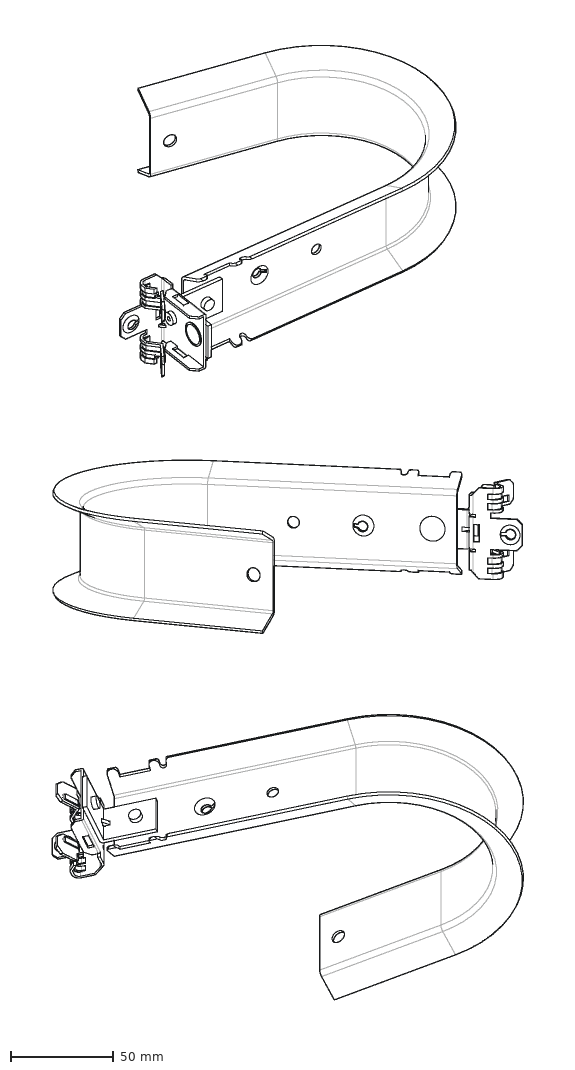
import cadquery as cq
import math


HOOK_SHEET = 1.5
WEB_RADIUS = 50.8
CHANNEL_DEPTH = 15.0
CHANNEL_HALF_WIDTH = 25.7
FLARE = math.radians(25)
BEND_RADIUS = 3.1
LONG_LEG = 124.0
SHORT_LEG = 68.5
SHORT_LEG_TILT = 12

WEB_BACK = WEB_RADIUS + HOOK_SHEET
FLANGE_EDGE = WEB_RADIUS + CHANNEL_DEPTH

RECESS_X = 61.3
NOTCH_TOP = -94.0
NOTCH_BOTTOM = -97.3
RECESS_TOP = -102.6
RECESS_BOTTOM = -118.3
LOBE_RADIUS = 2.5
END_LOBE_RADIUS = 2.7
NOTCH_RADIUS = 1.5

SHORT_LEG_HOLE = 7.0
SHORT_LEG_HOLE_FROM_END = 10.5
LONG_LEG_HOLE = 5.8
LONG_LEG_HOLE_Y = -42.7

SCREW_HOLE = 5.0
SCREW_LIP = 0.2
SCREW_SLIT_WIDTH = 1.8
SCREW_SLIT_LENGTH = 4.7
HOOK_CONE = 10.5
HOOK_CONE_HEIGHT = 2.0
HOOK_CONE_Y = -77.5
CLIP_CONE = 9.8
CLIP_CONE_HEIGHT = 1.0
CLIP_CONE_Y = -151.8

RIVET_HEAD = 12.5
RIVET_HEAD_HEIGHT = 2.0
RIVET_SHANK = 6.3
CLIP_RIVET_RIM = 0.5
CLIP_RIVET_DOME = 10.5
RIVET_TAIL = 2.7
HOOK_RIVET_Y = -112.0
CLIP_RIVET_X = 71.5

BRACKET_SHEET = 2.2
BRACKET_HALF_WIDTH = 9.8
BRACKET_END_X = 81.2
BRACKET_TOP_Y = -102.0
BRACKET_SHELF_Y = -128.8
BRACKET_UNDERSIDE = BRACKET_SHELF_Y - BRACKET_SHEET
BRACKET_HEEL_RADIUS = 2.0
BRACKET_DART = 3.4
BRACKET_DART_WIDTH = 2.2

CLIP_SHEET = 1.3
CLIP_BASE_BOTTOM = BRACKET_UNDERSIDE - CLIP_SHEET
CLIP_BEND_RADIUS = 2.2
CLIP_DART = 2.7
CLIP_DART_WIDTH = 1.3
CLIP_DART_Z = 8.7

BODY_START_X = 53.0
BODY_END_X = 79.5
SKIRT_HALF_WIDTH = 16.5
SKIRT_BOTTOM = -138.6
SKIRT_CHAMFER = 3.4
SKIRT_BEND_RADIUS = 1.0
WINDOW_START_X = 58.5
WINDOW_END_X = 67.5
WINDOW_BOTTOM = -135.5

COLLAR_X = 54.3
COLLAR_DIAMETER = 6.7
COLLAR_HOLE = 2.2
COLLAR_BOTTOM = -134.5

TAB_X = 45.2
TAB_BOTTOM = -157.9
TAB_HALF_WIDTH = 7.8
TAB_CHAMFER = 2.7
NECK_HALF_WIDTH = 18.8
SHOULDER_TOP = -136.2
SHOULDER_BOTTOM = -142.0
SHOULDER_HALF_WIDTH = 22.8
TAB_SLOT_TOP = -133.5
TAB_SLOT_BOTTOM = -136.5
TAB_SLOT_WIDTH = 8.7

FINGER_INNER_Z = 10.5
FINGER_FOOT_Y = -146.5
FINGER_BEND_RADIUS = 3.8
FINGER_KNEE_X = 51.5
FINGER_PEAK = (57.5, -141.3)
FINGER_TIP = (68.2, -148.5)
FINGER_CHAMFER_X = 3.1
FINGER_CHAMFER_Z = 3.5
FINGER_NOTCH_X = 56.8
FINGER_NOTCH_WIDTH = 3.4
FINGER_NOTCH_Z = 17.7
BEAD_TOP = -140.6
BEAD_RISE = 0.7
SHORT_BEAD = (18.5, 2.7, 55.2)
LONG_BEAD = (13.6, 3.1, 65.3)


def box(x_range, y_range, z_range):
    size = [high - low for low, high in (x_range, y_range, z_range)]
    corner = (x_range[0], y_range[0], z_range[0])
    return cq.Workplane("XY").box(*size, centered=False).translate(corner)


def plate(outline, z_centre, width):
    """Extrude an XY outline by a width centred on a height."""
    return cq.Workplane("XY").workplane(offset=z_centre - width / 2).polyline(outline).close().extrude(width)


def bore(x, y, diameter, length):
    """Cylinder along +X from a point on the plane z = 0."""
    return cq.Workplane("YZ", origin=(x, y, 0)).circle(diameter / 2).extrude(length)


def channel_section():
    """Section of the channel on the XZ plane, with the web at the curve radius."""
    lean_x, lean_z = math.cos(FLARE), math.sin(FLARE)
    tip_x = FLANGE_EDGE - HOOK_SHEET * lean_z
    bend_x = WEB_RADIUS + BEND_RADIUS
    flange_run = tip_x - bend_x + BEND_RADIUS * lean_z
    web_half = CHANNEL_HALF_WIDTH - BEND_RADIUS * lean_x - flange_run * math.tan(FLARE)
    full = math.pi / 2 - FLARE
    middle = full / 2

    def on_bend(radius, turn, side):
        return (bend_x - radius * math.cos(turn), side * (web_half + radius * math.sin(turn)))

    inner_radius = BEND_RADIUS - HOOK_SHEET
    inside_tip = CHANNEL_HALF_WIDTH - HOOK_SHEET * lean_x
    return (
        cq.Workplane("XZ")
        .moveTo(WEB_RADIUS, -web_half)
        .lineTo(WEB_RADIUS, web_half)
        .threePointArc(on_bend(BEND_RADIUS, middle, 1), on_bend(BEND_RADIUS, full, 1))
        .lineTo(tip_x, CHANNEL_HALF_WIDTH)
        .lineTo(FLANGE_EDGE, inside_tip)
        .lineTo(*on_bend(inner_radius, full, 1))
        .threePointArc(on_bend(inner_radius, middle, 1), (WEB_BACK, web_half))
        .lineTo(WEB_BACK, -web_half)
        .threePointArc(on_bend(inner_radius, middle, -1), on_bend(inner_radius, full, -1))
        .lineTo(FLANGE_EDGE, -inside_tip)
        .lineTo(tip_x, -CHANNEL_HALF_WIDTH)
        .lineTo(*on_bend(BEND_RADIUS, full, -1))
        .threePointArc(on_bend(BEND_RADIUS, middle, -1), (WEB_RADIUS, -web_half))
        .close()
    )


def long_leg_outline():
    """Block that trims the long leg to its lobed flange edges."""
    outline = [
        (WEB_RADIUS, 0), (FLANGE_EDGE, 0),
        (FLANGE_EDGE, NOTCH_TOP), (RECESS_X, NOTCH_TOP),
        (RECESS_X, NOTCH_BOTTOM), (FLANGE_EDGE, NOTCH_BOTTOM),
        (FLANGE_EDGE, RECESS_TOP), (RECESS_X, RECESS_TOP),
        (RECESS_X, RECESS_BOTTOM), (FLANGE_EDGE, RECESS_BOTTOM),
        (FLANGE_EDGE, -LONG_LEG), (WEB_RADIUS, -LONG_LEG),
    ]
    block = plate(outline, 0, 2 * CHANNEL_HALF_WIDTH)
    corners = [(FLANGE_EDGE, y, LOBE_RADIUS) for y in (NOTCH_TOP, NOTCH_BOTTOM, RECESS_TOP)]
    corners += [(FLANGE_EDGE, y, END_LOBE_RADIUS) for y in (RECESS_BOTTOM, -LONG_LEG)]
    corners += [(RECESS_X, y, NOTCH_RADIUS) for y in (NOTCH_TOP, NOTCH_BOTTOM)]
    for x, y, radius in corners:
        block = block.edges(cq.NearestToPointSelector((x, y, 0))).fillet(radius)
    return block


def screw_impression(sheet, face_x, y, diameter, height, outward, thickness):
    """Press a hollow cone with a hole and a slit into a sheet; outward is +1 or -1 along X."""
    plane = cq.Plane(origin=(face_x, y, 0), xDir=(0, 1, 0), normal=(outward, 0, 0))
    radius = diameter / 2
    top_radius = SCREW_HOLE / 2 + SCREW_LIP

    def cone(base_offset):
        return (
            cq.Workplane(plane).workplane(offset=base_offset).circle(radius)
            .workplane(offset=height).circle(top_radius).loft()
        )

    through = height + 2 * thickness
    hole = cq.Workplane(plane).workplane(offset=-through).circle(SCREW_HOLE / 2).extrude(2 * through)
    slit = (
        cq.Workplane(plane).workplane(offset=-through)
        .center(SCREW_SLIT_LENGTH / 2, 0).rect(SCREW_SLIT_LENGTH, SCREW_SLIT_WIDTH).extrude(2 * through)
    )
    return sheet.union(cone(0)).cut(cone(-thickness)).cut(hole).cut(slit)


def make_hook():
    curve_end = 180 - SHORT_LEG_TILT
    curve = channel_section().revolve(curve_end, (0, 0, 0), (0, 1, 0))
    long_leg = channel_section().extrude(LONG_LEG).intersect(long_leg_outline())
    long_leg = long_leg.cut(bore(WEB_RADIUS, LONG_LEG_HOLE_Y, LONG_LEG_HOLE, HOOK_SHEET))
    long_leg = long_leg.cut(bore(WEB_RADIUS, HOOK_RIVET_Y, RIVET_SHANK, HOOK_SHEET))
    long_leg = screw_impression(
        long_leg, WEB_RADIUS, HOOK_CONE_Y, HOOK_CONE, HOOK_CONE_HEIGHT, -1, HOOK_SHEET)
    hole_y = SHORT_LEG - SHORT_LEG_HOLE_FROM_END
    short_leg = channel_section().extrude(-SHORT_LEG)
    short_leg = short_leg.cut(bore(WEB_RADIUS, hole_y, SHORT_LEG_HOLE, HOOK_SHEET))
    short_leg = short_leg.rotate((0, 0, 0), (0, 0, 1), curve_end)
    return curve.union(long_leg).union(short_leg)


def make_rivet(grip, dome_diameter=RIVET_HEAD, rim=0.0):
    """Rivet along +X with its head seated on the plane x = 0."""
    head_radius = RIVET_HEAD / 2
    dome_edge = dome_diameter / 2
    shank_radius = RIVET_SHANK / 2
    shank_end = grip + RIVET_TAIL
    dome_height = RIVET_HEAD_HEIGHT - rim
    dome_radius = (dome_edge**2 + dome_height**2) / (2 * dome_height)
    half_turn = math.asin(dome_edge / dome_radius) / 2
    dome_middle = (
        -RIVET_HEAD_HEIGHT + dome_radius * (1 - math.cos(half_turn)),
        dome_radius * math.sin(half_turn),
    )
    outline = (
        cq.Workplane("XY")
        .moveTo(-RIVET_HEAD_HEIGHT, 0)
        .threePointArc(dome_middle, (-rim, dome_edge))
    )
    if rim > 0:
        outline = outline.lineTo(-rim, head_radius).lineTo(0, head_radius)
    return (
        outline
        .lineTo(0, shank_radius)
        .lineTo(shank_end, shank_radius)
        .lineTo(shank_end, 0)
        .close()
        .revolve(360, (0, 0, 0), (1, 0, 0))
    )


def make_hook_rivet():
    return make_rivet(HOOK_SHEET + BRACKET_SHEET).translate((WEB_RADIUS, HOOK_RIVET_Y, 0))


def make_clip_rivet():
    rivet = make_rivet(BRACKET_SHEET + CLIP_SHEET, CLIP_RIVET_DOME, CLIP_RIVET_RIM)
    return rivet.rotate((0, 0, 0), (0, 0, 1), 90).translate((CLIP_RIVET_X, CLIP_BASE_BOTTOM, 0))


def press_dart(strip, heel, side_y, sheet, reach, width, z_centre):
    """Press a 45 degree stiffening dart through the bend whose outer corner is the heel.

    The strip runs from the heel along +X and along side_y times Y.
    """
    x, y = heel
    ridge = 2 * sheet + reach
    groove = ridge - sheet * math.sqrt(2)

    def wedge(start, size):
        corner_x, corner_y = x + start, y + side_y * start
        return plate(
            [(corner_x, corner_y), (corner_x + size, corner_y), (corner_x, corner_y + side_y * size)],
            z_centre, width)

    return strip.union(wedge(sheet, reach)).cut(wedge(0, groove))


def make_bracket():
    leg_face = WEB_BACK + BRACKET_SHEET
    outline = [
        (WEB_BACK, BRACKET_TOP_Y), (leg_face, BRACKET_TOP_Y),
        (leg_face, BRACKET_SHELF_Y), (BRACKET_END_X, BRACKET_SHELF_Y),
        (BRACKET_END_X, BRACKET_UNDERSIDE), (WEB_BACK, BRACKET_UNDERSIDE),
    ]
    bracket = plate(outline, 0, 2 * BRACKET_HALF_WIDTH)
    heel = cq.NearestToPointSelector((WEB_BACK, BRACKET_UNDERSIDE, 0))
    bracket = bracket.edges(heel).fillet(BRACKET_HEEL_RADIUS)
    bracket = press_dart(
        bracket, (WEB_BACK, BRACKET_UNDERSIDE), 1, BRACKET_SHEET, BRACKET_DART, BRACKET_DART_WIDTH, 0)
    bracket = bracket.cut(bore(WEB_BACK, HOOK_RIVET_Y, RIVET_SHANK, BRACKET_SHEET))
    return bracket.cut(clip_rivet_hole())


def clip_rivet_hole():
    return (
        cq.Workplane("XZ", origin=(CLIP_RIVET_X, BRACKET_SHELF_Y, 0))
        .circle(RIVET_SHANK / 2).extrude(BRACKET_SHEET + CLIP_SHEET)
    )


def make_clip_body():
    """Base plate under the bracket, with its two windowed skirts."""
    body_x = (BODY_START_X, BODY_END_X)
    body = box(body_x, (SKIRT_BOTTOM, BRACKET_UNDERSIDE), (-SKIRT_HALF_WIDTH, SKIRT_HALF_WIDTH))
    body = body.edges("|X and >Y").fillet(SKIRT_BEND_RADIUS)
    body = body.edges("|Z and <Y").chamfer(SKIRT_CHAMFER)
    inner_half = SKIRT_HALF_WIDTH - CLIP_SHEET
    body = body.cut(box(body_x, (SKIRT_BOTTOM, CLIP_BASE_BOTTOM), (-inner_half, inner_half)))
    body = body.cut(box(
        (WINDOW_START_X, WINDOW_END_X), (WINDOW_BOTTOM, CLIP_BASE_BOTTOM),
        (-SKIRT_HALF_WIDTH, SKIRT_HALF_WIDTH)))
    return body


def add_collar(clip):
    collar = cq.Workplane("XZ", origin=(COLLAR_X, BRACKET_UNDERSIDE, 0))
    depth = BRACKET_UNDERSIDE - COLLAR_BOTTOM
    clip = clip.union(collar.circle(COLLAR_DIAMETER / 2).extrude(depth))
    return clip.cut(collar.circle(COLLAR_HOLE / 2).extrude(depth))


def make_clip_angle():
    """Bent strip: neck joining the body, shouldered tab with a chamfered lower end."""
    outline = [
        (TAB_X, TAB_BOTTOM), (TAB_X, BRACKET_UNDERSIDE), (BODY_START_X, BRACKET_UNDERSIDE),
        (BODY_START_X, CLIP_BASE_BOTTOM), (TAB_X + CLIP_SHEET, CLIP_BASE_BOTTOM),
        (TAB_X + CLIP_SHEET, TAB_BOTTOM),
    ]
    strip = plate(outline, 0, 2 * SHOULDER_HALF_WIDTH)
    inner_corner = (TAB_X + CLIP_SHEET, CLIP_BASE_BOTTOM, 0)
    outer_corner = (TAB_X, BRACKET_UNDERSIDE, 0)
    strip = strip.edges(cq.NearestToPointSelector(outer_corner)).fillet(CLIP_BEND_RADIUS)
    strip = strip.edges(cq.NearestToPointSelector(inner_corner)).fillet(CLIP_BEND_RADIUS - CLIP_SHEET)
    half_face = [
        (BRACKET_UNDERSIDE, NECK_HALF_WIDTH), (CLIP_BASE_BOTTOM, NECK_HALF_WIDTH),
        (SHOULDER_TOP, SHOULDER_HALF_WIDTH), (SHOULDER_BOTTOM, SHOULDER_HALF_WIDTH),
        (SHOULDER_BOTTOM, TAB_HALF_WIDTH), (TAB_BOTTOM + TAB_CHAMFER, TAB_HALF_WIDTH),
        (TAB_BOTTOM, TAB_HALF_WIDTH - TAB_CHAMFER),
    ]
    face = half_face + [(y, -z) for y, z in reversed(half_face)]
    face_block = (
        cq.Workplane("YZ", origin=(TAB_X, 0, 0)).polyline(face).close().extrude(BODY_START_X - TAB_X)
    )
    return strip.intersect(face_block)


def finger_band(start_y, shift, z_centre, width):
    """Strip of sheet along the finger path, moved sideways by shift toward +X and +Y."""
    path = [
        (TAB_X + CLIP_SHEET / 2, start_y), (TAB_X + CLIP_SHEET / 2, FINGER_FOOT_Y),
        (FINGER_KNEE_X, FINGER_FOOT_Y), FINGER_PEAK, FINGER_TIP,
    ]
    angles = [math.atan2(b[1] - a[1], b[0] - a[0]) for a, b in zip(path, path[1:])]
    before = [angles[0]] + angles
    after = angles + [angles[-1]]

    def offset(distance):
        points = []
        for (x, y), first, second in zip(path, before, after):
            reach = distance / math.cos((second - first) / 2)
            normal = (first + second) / 2 + math.pi / 2
            points.append((x + reach * math.cos(normal), y + reach * math.sin(normal)))
        return points

    inside = offset(shift + CLIP_SHEET / 2)
    outside = offset(shift - CLIP_SHEET / 2)
    band = plate(inside + outside[::-1], z_centre, width)
    for corner, radius in ((outside[1], FINGER_BEND_RADIUS), (inside[1], FINGER_BEND_RADIUS - CLIP_SHEET)):
        band = band.edges(cq.NearestToPointSelector((*corner, z_centre))).fillet(radius)
    return band


def make_finger():
    """Springy finger on the +Z side with a chamfered tip and an edge notch."""
    width = SHOULDER_HALF_WIDTH - FINGER_INNER_Z
    z_centre = (SHOULDER_HALF_WIDTH + FINGER_INNER_Z) / 2
    finger = finger_band(SHOULDER_BOTTOM, 0, z_centre, width)
    tip_x = FINGER_TIP[0] + CLIP_SHEET / 2
    for z, side in ((SHOULDER_HALF_WIDTH, -1), (FINGER_INNER_Z, 1)):
        corner = [
            (tip_x - FINGER_CHAMFER_X, z), (tip_x, z + side * FINGER_CHAMFER_Z), (tip_x, z),
        ]
        finger = finger.cut(
            cq.Workplane("XZ", origin=(0, FINGER_PEAK[1], 0)).polyline(corner).close().extrude(width))
    notch_length = 2 * (SHOULDER_HALF_WIDTH - FINGER_NOTCH_Z)
    notch = (
        cq.Workplane("XZ", origin=(FINGER_NOTCH_X, FINGER_PEAK[1] + CLIP_SHEET, SHOULDER_HALF_WIDTH))
        .slot2D(notch_length, FINGER_NOTCH_WIDTH, 90).extrude(width)
    )
    return finger.cut(notch)


def add_beads(clip):
    """Press the stiffening beads that run from the tab out along each finger."""
    for z, width, end_x in (SHORT_BEAD, LONG_BEAD):
        limit = box((TAB_X, end_x), (TAB_BOTTOM, BEAD_TOP), (-SHOULDER_HALF_WIDTH, SHOULDER_HALF_WIDTH))
        for side in (1, -1):
            clip = clip.cut(finger_band(BEAD_TOP, 0, side * z, width).intersect(limit))
            clip = clip.union(finger_band(BEAD_TOP, BEAD_RISE, side * z, width).intersect(limit))
    return clip


def make_clip():
    clip = make_clip_angle().union(make_clip_body())
    clip = add_collar(clip)
    finger = make_finger()
    clip = clip.union(finger).union(finger.mirror("XY"))
    clip = add_beads(clip)
    for side in (1, -1):
        clip = press_dart(
            clip, (TAB_X, BRACKET_UNDERSIDE), -1, CLIP_SHEET, CLIP_DART, CLIP_DART_WIDTH,
            side * CLIP_DART_Z)
    clip = clip.cut(box(
        (TAB_X, TAB_X + CLIP_SHEET), (TAB_SLOT_BOTTOM, TAB_SLOT_TOP),
        (-TAB_SLOT_WIDTH / 2, TAB_SLOT_WIDTH / 2)))
    clip = screw_impression(
        clip, TAB_X + CLIP_SHEET, CLIP_CONE_Y, CLIP_CONE, CLIP_CONE_HEIGHT, 1, CLIP_SHEET)
    return clip.cut(clip_rivet_hole())


hook = make_hook()
bracket = make_bracket()
clip = make_clip()
hook_rivet = make_hook_rivet()
clip_rivet = make_clip_rivet()

bodies = [hook, bracket, clip, hook_rivet, clip_rivet]
result = cq.Compound.makeCompound([body.solids().val() for body in bodies])